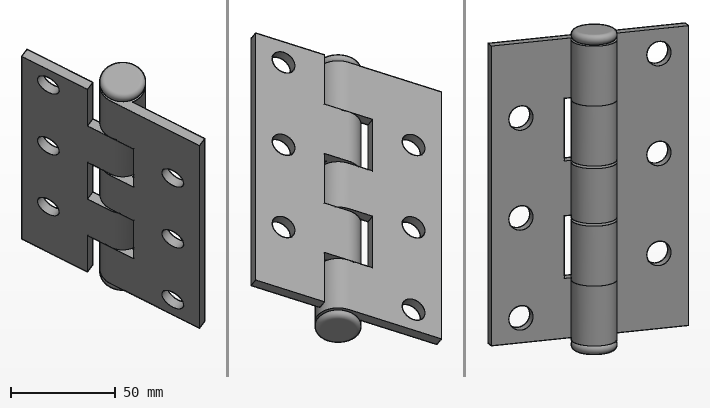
import cadquery as cq

HINGE_WIDTH = 100.0
HINGE_HEIGHT = 160.0
HEAD_HEIGHT = 5.0
LEAF_HEIGHT = HINGE_HEIGHT - 2 * HEAD_HEIGHT
LEAF_THICKNESS = 5.0

BARREL_RADIUS = 11.0
PIN_RADIUS = 6.2
HEAD_EDGE_RADIUS = HEAD_HEIGHT / 2

KNUCKLE_LENGTH = 30.0
MIDDLE_LENGTH = 27.5
SIDE_CLEARANCE = 2.0

HOLE_RADIUS = 6.0
HOLE_EDGE_DISTANCE = 15.0
HOLE_PITCH = 50.0
HOLE_END_DISTANCE = 12.5

LEAF_FRONT = -BARREL_RADIUS
LEAF_TOP = LEAF_HEIGHT / 2
SIDE_KNUCKLE_CENTER = LEAF_TOP - 1.5 * KNUCKLE_LENGTH
END_KNUCKLE_CENTER = LEAF_TOP - KNUCKLE_LENGTH / 2

LEFT_KNUCKLES = [(z, KNUCKLE_LENGTH) for z in (-SIDE_KNUCKLE_CENTER, SIDE_KNUCKLE_CENTER)]
RIGHT_KNUCKLES = [
    (-END_KNUCKLE_CENTER, KNUCKLE_LENGTH),
    (0, MIDDLE_LENGTH),
    (END_KNUCKLE_CENTER, KNUCKLE_LENGTH),
]


def cylinder(radius, center_z, length):
    """Cylinder on the pin axis, centred at the given height."""
    return cq.Workplane("XY", origin=(0, 0, center_z - length / 2)).circle(radius).extrude(length)


def leaf_plate(side, x_inner, center_z, length):
    """Plate from x_inner to the outer leaf edge; side is -1 for left, +1 for right."""
    width = HINGE_WIDTH / 2 - x_inner
    center = (side * (x_inner + width / 2), LEAF_FRONT + LEAF_THICKNESS / 2, center_z)
    return cq.Workplane("XY").box(width, LEAF_THICKNESS, length).translate(center)


def screw_holes(side):
    """Row of three drills; the rows of the two leaves are staggered end for end."""
    first_z = -side * (LEAF_TOP - HOLE_END_DISTANCE)
    x = side * (HINGE_WIDTH / 2 - HOLE_EDGE_DISTANCE)
    points = [(x, first_z + side * i * HOLE_PITCH) for i in range(3)]
    return (
        cq.Workplane("XZ", origin=(0, LEAF_FRONT + LEAF_THICKNESS, 0))
        .pushPoints(points)
        .circle(HOLE_RADIUS)
        .extrude(LEAF_THICKNESS)
    )


def make_leaf(side, knuckles):
    """Leaf plate with its barrel knuckles, bored for the pin."""
    leaf = leaf_plate(side, BARREL_RADIUS + SIDE_CLEARANCE, 0, LEAF_HEIGHT)
    for center_z, length in knuckles:
        leaf = leaf.union(leaf_plate(side, 0, center_z, length))
        leaf = leaf.union(cylinder(BARREL_RADIUS, center_z, length))
    bore = cylinder(PIN_RADIUS, 0, LEAF_HEIGHT)
    return leaf.cut(bore).cut(screw_holes(side))


def pin_head(center_z):
    """Disc with a half-round rim, revolved about the pin axis."""
    flat_radius = BARREL_RADIUS - HEAD_EDGE_RADIUS
    bottom = center_z - HEAD_HEIGHT / 2
    top = center_z + HEAD_HEIGHT / 2
    return (
        cq.Workplane("XZ")
        .moveTo(0, bottom)
        .lineTo(flat_radius, bottom)
        .threePointArc((BARREL_RADIUS, center_z), (flat_radius, top))
        .lineTo(0, top)
        .close()
        .revolve(360, (0, 0), (0, 1))
    )


def make_pin():
    """Pin shank with a head at each end."""
    pin = cylinder(PIN_RADIUS, 0, LEAF_HEIGHT)
    for end in (-1, 1):
        pin = pin.union(pin_head(end * (LEAF_TOP + HEAD_HEIGHT / 2)))
    return pin


left_leaf = make_leaf(-1, LEFT_KNUCKLES)
right_leaf = make_leaf(1, RIGHT_KNUCKLES)
pin = make_pin()

result = cq.Compound.makeCompound([left_leaf.val(), right_leaf.val(), pin.val()])